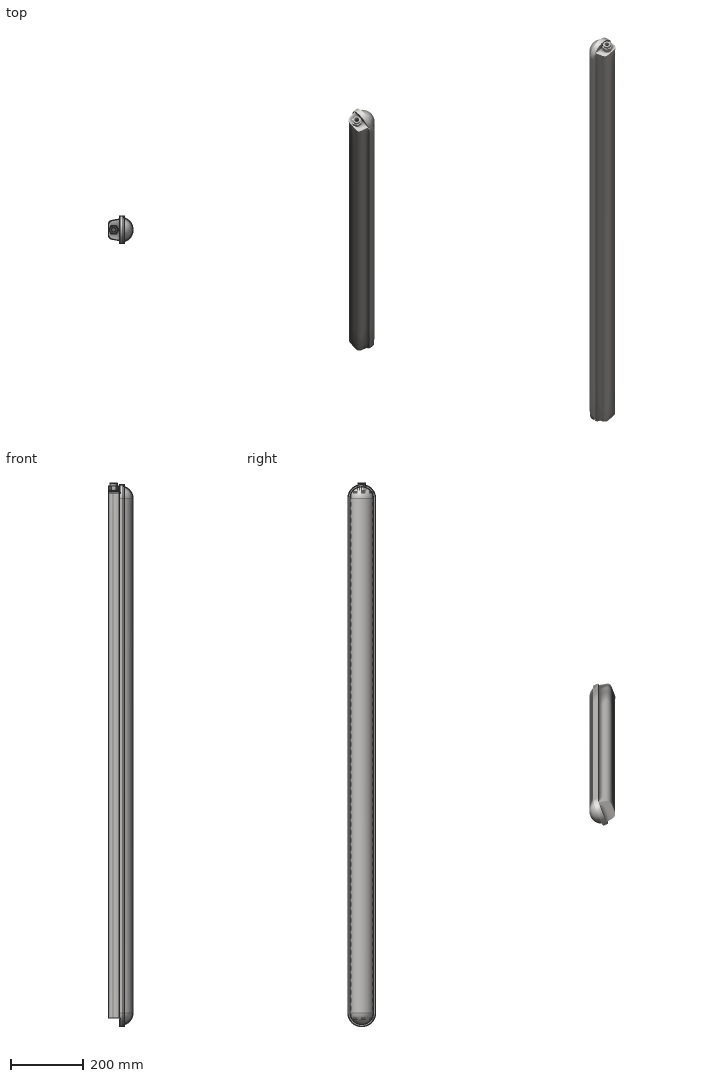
import cadquery as cq
import math

total_length = 1502.0
rim_width = 77.0
rim_overhang = 4.2

gland_rise = 5.0
rim_length = total_length - gland_rise
lamp_mid_z = -gland_rise / 2

rim_radius = rim_width / 2
lens_radius = rim_radius - rim_overhang
end_center = rim_length / 2 - rim_radius

back_x = -lens_radius
wall_bend_x = -6.0
rim_back_x = -3.3
split_x = 6.8
rim_front_x = 10.2

wall_half_width = 29.5
wall_taper = 10.7
back_corner_radius = 15.0
housing_half_length = 725.0

groove_width = 3.0
groove_depth = 2.0

cap_thickness = 5.0
cap_corner_radius = 10.0
washer_diameter = 21.0
washer_height = 3.0
nut_width = 24.0
nut_height = 12.0
gland_x = -20.0
collar_diameter = 21.0
cable_hole_diameter = 12.5
lip_radius = 2.1
top_z = total_length / 2


def rim_plate(x_start, x_end):
    """Plate of the given X range with round upper and lower ends."""
    return (
        cq.Workplane("YZ", origin=(x_start, 0, lamp_mid_z))
        .slot2D(rim_length, rim_width, 90)
        .extrude(x_end - x_start)
    )


def back_section(z_start, height, corner_radius):
    """Prism with the tapered back section, rounded at its two back corners."""
    back_half_width = wall_half_width - (wall_bend_x - back_x) * math.tan(math.radians(wall_taper))
    return (
        cq.Workplane("XY", origin=(0, 0, z_start))
        .polyline([
            (back_x, -back_half_width),
            (wall_bend_x, -wall_half_width),
            (rim_back_x, -wall_half_width),
            (rim_back_x, wall_half_width),
            (wall_bend_x, wall_half_width),
            (back_x, back_half_width),
        ])
        .close()
        .extrude(height)
        .edges("|Z and <X")
        .fillet(corner_radius)
    )


def make_housing():
    """Tapered back joined to the rear layer of the rim, with a groove beyond each end of the back."""
    back = back_section(lamp_mid_z - housing_half_length, 2 * housing_half_length, back_corner_radius)
    housing = back.union(rim_plate(rim_back_x, split_x))
    groove = cq.Workplane("XY").box(2 * groove_depth, rim_width, groove_width)
    groove_offset = housing_half_length + groove_width / 2
    for side in (-1, 1):
        housing = housing.cut(groove.translate((rim_back_x, 0, lamp_mid_z + side * groove_offset)))
    return housing


def make_lens():
    """Half-round bar with spherical ends, joined to the front layer of the rim."""
    lens = (
        cq.Workplane("XY", origin=(0, 0, lamp_mid_z - end_center))
        .circle(lens_radius)
        .extrude(2 * end_center)
    )
    end_ball = cq.Workplane("XY").sphere(lens_radius)
    for side in (-1, 1):
        lens = lens.union(end_ball.translate((0, 0, lamp_mid_z + side * end_center)))
    front_space = (
        cq.Workplane("YZ", origin=(split_x, 0, lamp_mid_z))
        .rect(rim_width, rim_length)
        .extrude(lens_radius)
    )
    return lens.intersect(front_space).union(rim_plate(split_x, rim_front_x))


def make_end_cap():
    """Plate on the upper end of the housing with a washer, hexagon nut and round-lipped cable collar."""
    plate_z = lamp_mid_z + housing_half_length
    washer_z = plate_z + cap_thickness
    nut_z = washer_z + washer_height
    collar_z = nut_z + nut_height
    nut_corner_diameter = nut_width / math.cos(math.radians(30))

    plate = back_section(plate_z, cap_thickness, cap_corner_radius)
    washer = (
        cq.Workplane("XY", origin=(gland_x, 0, washer_z))
        .circle(washer_diameter / 2)
        .extrude(washer_height)
    )
    nut = (
        cq.Workplane("XY", origin=(gland_x, 0, nut_z))
        .polygon(6, nut_corner_diameter)
        .extrude(nut_height)
    )
    cable_hole = (
        cq.Workplane("XY", origin=(gland_x, 0, plate_z))
        .circle(cable_hole_diameter / 2)
        .extrude(top_z - plate_z)
    )
    collar = (
        cq.Workplane("XY", origin=(gland_x, 0, collar_z))
        .circle(collar_diameter / 2)
        .extrude(top_z - collar_z)
        .cut(cable_hole)
        .faces(">Z")
        .edges()
        .fillet(lip_radius)
    )
    return plate.union(washer).union(nut).cut(cable_hole).union(collar)


housing = make_housing()
lens = make_lens()
end_cap = make_end_cap()

result = cq.Compound.makeCompound([housing.val(), lens.val(), end_cap.val()])